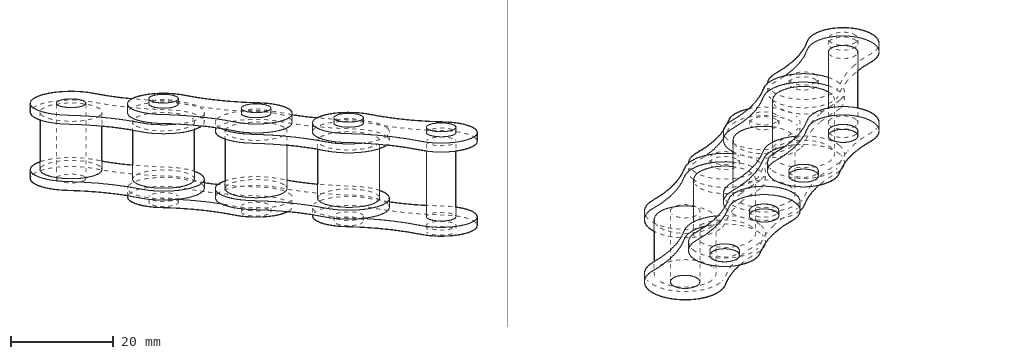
import cadquery as cq
import math

total_length = 91.15
pitch = 19.05
pitch_count = 4
pin_height = 21.1
pin_diameter = 5.7
roller_diameter = 12.0

inner_plate_width = 15.9
plate_thickness = 1.8
inner_gap = 11.7
waist_radius = 30.1

inner_end_radius = inner_plate_width / 2
outer_end_radius = total_length - pitch_count * pitch - inner_end_radius
first_pin_x = inner_end_radius - total_length / 2
inner_plate_z = inner_gap / 2
outer_plate_z = inner_plate_z + plate_thickness
pin_x = [first_pin_x + i * pitch for i in range(pitch_count + 1)]


def link_plate(left_pin_x, end_radius, bottom_z):
    """Waisted plate over two pins: round ends joined by tangent concave arcs."""
    half_pitch = pitch / 2
    arc_center_y = math.sqrt((end_radius + waist_radius) ** 2 - half_pitch ** 2)
    waist_y = arc_center_y - waist_radius
    blend = end_radius / (end_radius + waist_radius)
    tangent_x = half_pitch * (1 - blend)
    tangent_y = arc_center_y * blend
    end_x = half_pitch + end_radius
    return (
        cq.Workplane("XY", origin=(left_pin_x + half_pitch, 0, bottom_z))
        .moveTo(-tangent_x, tangent_y)
        .threePointArc((0, waist_y), (tangent_x, tangent_y))
        .threePointArc((end_x, 0), (tangent_x, -tangent_y))
        .threePointArc((0, -waist_y), (-tangent_x, -tangent_y))
        .threePointArc((-end_x, 0), (-tangent_x, tangent_y))
        .close()
        .extrude(plate_thickness)
    )


def plate_pair(left_pin_x, end_radius, inside_z):
    """Matching upper and lower plates whose inside faces are at +/- inside_z."""
    upper = link_plate(left_pin_x, end_radius, inside_z)
    lower = link_plate(left_pin_x, end_radius, -inside_z - plate_thickness)
    return upper.add(lower)


def upright_cylinder(x, diameter, height):
    """Cylinder along Z, centred on the mid-plane of the chain."""
    return cq.Workplane("XY", origin=(x, 0, -height / 2)).circle(diameter / 2).extrude(height)


bodies = []
for index, x in enumerate(pin_x[:-1]):
    if index % 2 == 0:
        bodies.append(plate_pair(x, inner_end_radius, inner_plate_z))
    else:
        bodies.append(plate_pair(x, outer_end_radius, outer_plate_z))
    bodies.append(upright_cylinder(x, roller_diameter, inner_gap))

for x in pin_x[1:]:
    bodies.append(upright_cylinder(x, pin_diameter, pin_height))

chain = cq.Workplane("XY")
for body in bodies:
    for solid in body.vals():
        chain = chain.union(cq.Workplane(solid))

open_pin_hole = upright_cylinder(pin_x[0], pin_diameter, pin_height)
result = chain.cut(open_pin_hole)